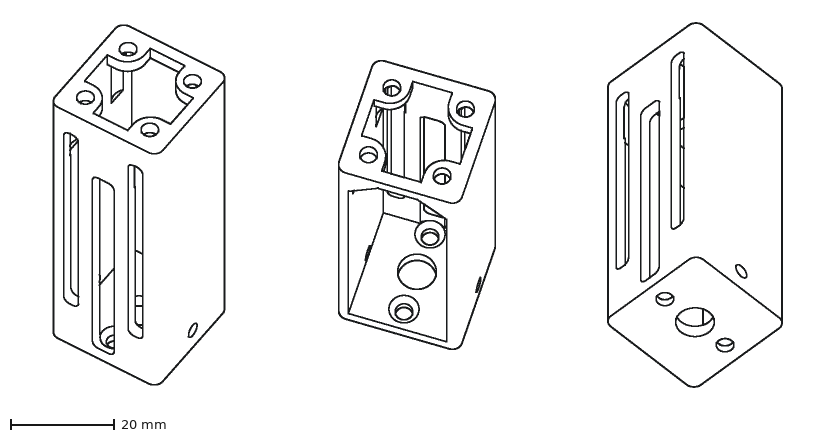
import cadquery as cq

WIDTH = 25.0
HEIGHT = 68
WALL = 2.5
CORNER_RADIUS = 2.0
FLOOR = 3.0
PLATE = 2.85

HALF = WIDTH / 2
CAVITY = WIDTH - 2 * WALL
CAVITY_HALF = CAVITY / 2
PLATE_UNDERSIDE = HEIGHT - PLATE

ARM_HALF = 4.0
SCREW_OFFSET = 7.5
SCREW_DIAMETER = 3.4
BOSS_RADIUS = ARM_HALF
HEAD_DIAMETER = 6.5
HEAD_DEPTH = 15.5

SLOT_LENGTH = 50.05
SIDE_SLOT_WIDTH = 3.4
SIDE_SLOT_TOP = 6.05
MIDDLE_SLOT_WIDTH = 5.0
SLOT_CORNER_RADIUS = 1.35

WINDOW_SHOULDER = 8.2

CENTER_HOLE_DIAMETER = 7.5
MOUNT_OFFSET = 8.35
MOUNT_DIAMETER = 3.4
COUNTERSINK_DIAMETER = 5.85
SIDE_HOLE_DIAMETER = 3.0
SIDE_HOLE_HEIGHT = 5.0

SCREW_POINTS = [(x, y) for x in (-SCREW_OFFSET, SCREW_OFFSET) for y in (-SCREW_OFFSET, SCREW_OFFSET)]


def shell():
    """Closed square tube with rounded outer corners and a plain cavity."""
    block = cq.Workplane("XY").rect(WIDTH, WIDTH).extrude(HEIGHT).edges("|Z").fillet(CORNER_RADIUS)
    cavity = cq.Workplane("XY", origin=(0, 0, FLOOR)).rect(CAVITY, CAVITY).extrude(PLATE_UNDERSIDE - FLOOR)
    return block.cut(cavity)


def plate_opening():
    """Square opening that leaves a rounded boss around each screw hole."""
    plane = cq.Workplane("XY", origin=(0, 0, PLATE_UNDERSIDE))
    opening = plane.rect(CAVITY, CAVITY).extrude(PLATE)
    boss_side = HALF - ARM_HALF
    boss_center = ARM_HALF + boss_side / 2
    for x_sign in (-1, 1):
        for y_sign in (-1, 1):
            corner = plane.center(x_sign * boss_center, y_sign * boss_center)
            boss = corner.rect(boss_side, boss_side).extrude(PLATE)
            inner_edge = cq.selectors.NearestToPointSelector(
                (x_sign * ARM_HALF, y_sign * ARM_HALF, PLATE_UNDERSIDE + PLATE / 2)
            )
            opening = opening.cut(boss.edges(inner_edge).fillet(BOSS_RADIUS))
    return opening


def screw_holes():
    """Screw holes through the plate."""
    return (
        cq.Workplane("XY", origin=(0, 0, PLATE_UNDERSIDE))
        .pushPoints(SCREW_POINTS)
        .circle(SCREW_DIAMETER / 2)
        .extrude(PLATE)
    )


def head_clearances():
    """Round clearances under the screw holes that bite into the cavity walls."""
    return (
        cq.Workplane("XY", origin=(0, 0, HEIGHT - HEAD_DEPTH))
        .pushPoints(SCREW_POINTS)
        .circle(HEAD_DIAMETER / 2)
        .extrude(HEAD_DEPTH - PLATE)
    )


def front_slot(x, bottom, width):
    """Upright slot with rounded corners through the front wall."""
    return (
        cq.Workplane("XZ", origin=(x, -CAVITY_HALF, bottom + SLOT_LENGTH / 2))
        .rect(width, SLOT_LENGTH)
        .extrude(WALL)
        .edges("|Y")
        .fillet(SLOT_CORNER_RADIUS)
    )


def back_window():
    """Full-width window in the back wall with slanted upper corners."""
    shoulder = HEIGHT - WINDOW_SHOULDER
    return (
        cq.Workplane("XZ", origin=(0, HALF, 0))
        .moveTo(-CAVITY_HALF, FLOOR)
        .lineTo(CAVITY_HALF, FLOOR)
        .lineTo(CAVITY_HALF, shoulder)
        .lineTo(ARM_HALF, PLATE_UNDERSIDE)
        .lineTo(-ARM_HALF, PLATE_UNDERSIDE)
        .lineTo(-CAVITY_HALF, shoulder)
        .close()
        .extrude(WALL)
    )


def floor_holes():
    """Central hole and two countersunk holes whose heads also clear the corners of the middle slot."""
    holes = cq.Workplane("XY").circle(CENTER_HOLE_DIAMETER / 2).extrude(FLOOR)
    sink_depth = (COUNTERSINK_DIAMETER - MOUNT_DIAMETER) / 2
    for y in (-MOUNT_OFFSET, MOUNT_OFFSET):
        shaft = cq.Workplane("XY").center(0, y).circle(MOUNT_DIAMETER / 2).extrude(FLOOR)
        sink = (
            cq.Workplane("XY", origin=(0, y, FLOOR - sink_depth))
            .circle(MOUNT_DIAMETER / 2)
            .workplane(offset=sink_depth)
            .circle(COUNTERSINK_DIAMETER / 2)
            .loft()
        )
        clearance = (
            cq.Workplane("XY", origin=(0, y, FLOOR))
            .circle(COUNTERSINK_DIAMETER / 2)
            .extrude(SLOT_CORNER_RADIUS)
        )
        holes = holes.union(shaft).union(sink).union(clearance)
    return holes


def side_hole():
    """Cross hole through both side walls."""
    return (
        cq.Workplane("YZ", origin=(-HALF, 0, SIDE_HOLE_HEIGHT))
        .circle(SIDE_HOLE_DIAMETER / 2)
        .extrude(WIDTH)
    )


side_slot_bottom = HEIGHT - SIDE_SLOT_TOP - SLOT_LENGTH

result = shell().cut(plate_opening()).cut(screw_holes()).cut(head_clearances())
for slot_x in (-SCREW_OFFSET, SCREW_OFFSET):
    result = result.cut(front_slot(slot_x, side_slot_bottom, SIDE_SLOT_WIDTH))
result = result.cut(front_slot(0, FLOOR, MIDDLE_SLOT_WIDTH))
result = result.cut(back_window()).cut(floor_holes()).cut(side_hole())